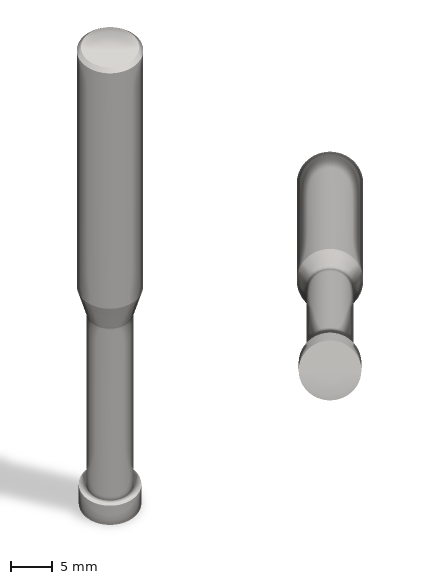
import cadquery as cq

total_length = 76.0
head_height = 3.2
taper_start = 31.85
shank_start = 36.25

shank_diameter = 8.0
stem_diameter = 5.7
head_diameter = 7.5

shank_chamfer = 0.5


def make_head():
    """Plain disc at the lower end."""
    return cq.Workplane("XY").circle(head_diameter / 2).extrude(head_height)


def make_stem():
    """Slim round stem that flares out to the shank diameter at its upper end."""
    stem_radius = stem_diameter / 2
    return (
        cq.Workplane("XZ")
        .moveTo(0, head_height)
        .lineTo(stem_radius, head_height)
        .lineTo(stem_radius, taper_start)
        .lineTo(shank_diameter / 2, shank_start)
        .lineTo(0, shank_start)
        .close()
        .revolve(360, (0, 0, 0), (0, 1, 0))
    )


def make_shank():
    """Thick round shank with a chamfered top edge."""
    return (
        cq.Workplane("XY")
        .workplane(offset=shank_start)
        .circle(shank_diameter / 2)
        .extrude(total_length - shank_start)
        .faces(">Z")
        .chamfer(shank_chamfer)
    )


head = make_head()
stem = make_stem()
shank = make_shank()

result = cq.Compound.makeCompound([head.val(), stem.val(), shank.val()])